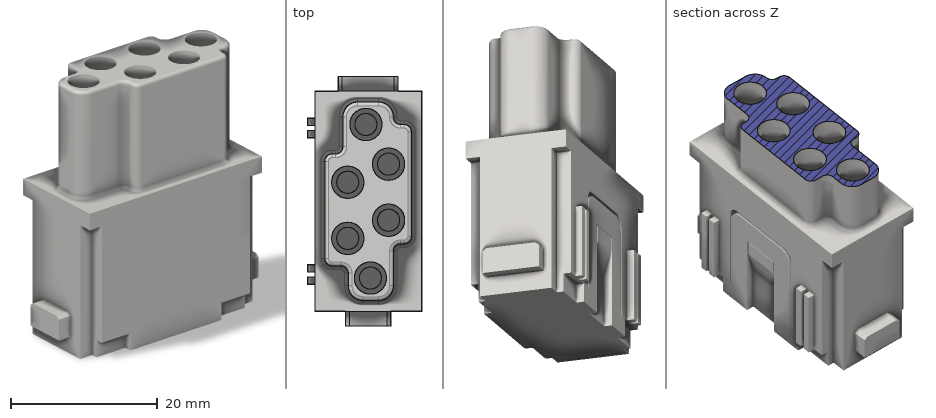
import cadquery as cq

TOTAL_HEIGHT = 38.6
BODY_WIDTH = 14.6
BODY_LENGTH = 30.0
BODY_HEIGHT = 22.55
BODY_LEFT = -BODY_WIDTH / 2
BODY_RIGHT = BODY_WIDTH / 2
TOWER_HEIGHT = TOTAL_HEIGHT - BODY_HEIGHT

TOWER_AXIS_X = -0.05

FLANGE_THICKNESS = 2.47
CORNER_NOTCH = 2.1
NOTCH_INNER_Y = BODY_LENGTH / 2 - CORNER_NOTCH
FLANGE_UNDERSIDE = BODY_HEIGHT - FLANGE_THICKNESS

FOOT_HEIGHT = 2.6
RECESS_DEPTH = 1.12
FOOT_RECESS_INNER_Y = 7.9

RIB_SIZE = 1.0
RIB_HEIGHT = 10.0
RIB_TOP = FOOT_HEIGHT + RIB_HEIGHT
RIB_CENTRES_Y = (9.15, 10.8)

TAB_REACH = 2.0
TAB_HEIGHT = 3.5
TAB_CHAMFER_WIDTH = 0.55
TAB_CHAMFER_HEIGHT = 0.4
FRONT_TAB_WIDTH = 6.2
REAR_TAB_WIDTH = 8.2

TONGUE_GAP_HALF_WIDTH = 6.45
TONGUE_GAP_TOP = 16.7
TONGUE_GAP_RADIUS = 1.6
TONGUE_RADIUS = 2.1
TONGUE_SIDE_GAP = 0.15
TONGUE_TOP_GAP = 0.45
CHANNEL_HALF_WIDTH = 2.85
CHANNEL_TOP = 12.65
CATCH_HALF_WIDTH = 2.6
CATCH_TOP = 12.6
CATCH_RAMP_TOP = 10.5
CATCH_RAMP_BOTTOM = 6.65

TOWER_END_Y = 13.5
TOWER_SIDE_X = 5.9
TOWER_NECK_X = 3.45
FRONT_LEFT_NECK_X = -2.7
REAR_LEFT_STEP_Y = 6.45
REAR_RIGHT_STEP_Y = 10.45
FRONT_RIGHT_STEP_Y = -5.8
FRONT_LEFT_STEP_Y = -8.8
END_CORNER_RADIUS = 2.0
STEP_CORNER_RADIUS = 1.0
TOWER_EDGE_RADIUS = 0.5
SELECTION_MARGIN = 0.05

BORE_DIAMETER = 4.4
BORE_DEPTH = TOWER_HEIGHT
CONTACT_DIAMETER = 3.0
CONTACT_DEPTH = 3.85
BORE_CENTRES = ((0.3, -10.45), (2.78, -2.6), (2.78, 5.05))


def block(x_range, y_range, z_range):
    """Axis-aligned box given by its limits."""
    (x0, x1), (y0, y1), (z0, z1) = x_range, y_range, z_range
    return cq.Workplane("XY").box(x1 - x0, y1 - y0, z1 - z0, centered=False).translate((x0, y0, z0))


def side_limits(side, inner, outer):
    """Limits from inner to outer, mirrored to the negative side when side is -1."""
    return tuple(sorted((side * inner, side * outer)))


def make_body():
    half_length = BODY_LENGTH / 2
    body = block((BODY_LEFT, BODY_RIGHT), (-half_length, half_length), (0, BODY_HEIGHT))
    for x_side in (-1, 1):
        half_width = BODY_WIDTH / 2
        notch_x = side_limits(x_side, half_width - CORNER_NOTCH, half_width)
        recess_x = side_limits(x_side, half_width - RECESS_DEPTH, half_width)
        for y_side in (-1, 1):
            notch_y = side_limits(y_side, NOTCH_INNER_Y, half_length)
            recess_y = side_limits(y_side, FOOT_RECESS_INNER_Y, NOTCH_INNER_Y)
            body = body.cut(block(notch_x, notch_y, (0, FLANGE_UNDERSIDE)))
            body = body.cut(block(recess_x, recess_y, (0, FOOT_HEIGHT)))
    return body


def add_ribs(body):
    for y_side in (-1, 1):
        for centre in RIB_CENTRES_Y:
            rib_y = side_limits(y_side, centre - RIB_SIZE / 2, centre + RIB_SIZE / 2)
            rib_x = (BODY_LEFT - RIB_SIZE, BODY_LEFT + RECESS_DEPTH)
            body = body.union(block(rib_x, rib_y, (FOOT_HEIGHT, RIB_TOP)))
    return body


def make_tab(width, y_start):
    """End tab with bevelled upper corners, reaching towards -Y from y_start."""
    half_width = width / 2
    top = FOOT_HEIGHT + TAB_HEIGHT
    shoulder = top - TAB_CHAMFER_HEIGHT
    outline = [
        (-half_width, FOOT_HEIGHT),
        (half_width, FOOT_HEIGHT),
        (half_width, shoulder),
        (half_width - TAB_CHAMFER_WIDTH, top),
        (-half_width + TAB_CHAMFER_WIDTH, top),
        (-half_width, shoulder),
    ]
    face = cq.Workplane("XZ", origin=(TOWER_AXIS_X, y_start, 0)).polyline(outline).close()
    return face.extrude(TAB_REACH)


def make_arch(half_width, top, radius):
    """Slab of the recess depth under the -X face, rounded at its two upper corners."""
    slab = block(
        (BODY_LEFT, BODY_LEFT + RECESS_DEPTH), (-half_width, half_width), (FOOT_HEIGHT, top)
    )
    return slab.edges("|X and >Z").fillet(radius)


def make_tongue_gap():
    outer = make_arch(TONGUE_GAP_HALF_WIDTH, TONGUE_GAP_TOP, TONGUE_GAP_RADIUS)
    inner = make_arch(
        TONGUE_GAP_HALF_WIDTH - TONGUE_SIDE_GAP, TONGUE_GAP_TOP - TONGUE_TOP_GAP, TONGUE_RADIUS
    )
    return outer.cut(inner)


def make_channel():
    return block(
        (BODY_LEFT, BODY_LEFT + RECESS_DEPTH),
        (-CHANNEL_HALF_WIDTH, CHANNEL_HALF_WIDTH),
        (0, CHANNEL_TOP),
    )


def make_catch():
    """Latch catch in the channel, flush with the -X face and ramped back below."""
    floor = BODY_LEFT + RECESS_DEPTH
    profile = [
        (floor, CATCH_RAMP_BOTTOM),
        (BODY_LEFT, CATCH_RAMP_TOP),
        (BODY_LEFT, CATCH_TOP),
        (floor, CATCH_TOP),
    ]
    return cq.Workplane("XZ").polyline(profile).close().extrude(CATCH_HALF_WIDTH, both=True)


def make_tower():
    """Tower with rounded upright corners and a rounded top edge."""
    corners = [
        (FRONT_LEFT_NECK_X, -TOWER_END_Y, END_CORNER_RADIUS),
        (TOWER_NECK_X, -TOWER_END_Y, END_CORNER_RADIUS),
        (TOWER_NECK_X, FRONT_RIGHT_STEP_Y, STEP_CORNER_RADIUS),
        (TOWER_SIDE_X, FRONT_RIGHT_STEP_Y, STEP_CORNER_RADIUS),
        (TOWER_SIDE_X, REAR_RIGHT_STEP_Y, STEP_CORNER_RADIUS),
        (TOWER_NECK_X, REAR_RIGHT_STEP_Y, STEP_CORNER_RADIUS),
        (TOWER_NECK_X, TOWER_END_Y, END_CORNER_RADIUS),
        (-TOWER_NECK_X, TOWER_END_Y, END_CORNER_RADIUS),
        (-TOWER_NECK_X, REAR_LEFT_STEP_Y, STEP_CORNER_RADIUS),
        (-TOWER_SIDE_X, REAR_LEFT_STEP_Y, STEP_CORNER_RADIUS),
        (-TOWER_SIDE_X, FRONT_LEFT_STEP_Y, STEP_CORNER_RADIUS),
        (FRONT_LEFT_NECK_X, FRONT_LEFT_STEP_Y, STEP_CORNER_RADIUS),
    ]
    outline = [(x, y) for x, y, _ in corners]
    base = cq.Workplane("XY", origin=(0, 0, BODY_HEIGHT))
    tower = base.polyline(outline).close().extrude(TOWER_HEIGHT)
    middle_height = BODY_HEIGHT + TOWER_HEIGHT / 2
    for x, y, radius in corners:
        tower = tower.edges(cq.selectors.NearestToPointSelector((x, y, middle_height))).fillet(radius)
    tower = tower.faces(">Z").edges().fillet(TOWER_EDGE_RADIUS)
    return tower.translate((TOWER_AXIS_X, 0, 0))


def add_tower(body):
    """Join the tower to the body and round the inside edge around its root."""
    joined = body.union(make_tower())
    reach_x = (TOWER_SIDE_X + BODY_WIDTH / 2) / 2
    reach_y = (TOWER_END_Y + BODY_LENGTH / 2) / 2
    root = cq.selectors.BoxSelector(
        (-reach_x, -reach_y, BODY_HEIGHT - SELECTION_MARGIN),
        (reach_x, reach_y, BODY_HEIGHT + SELECTION_MARGIN),
        boundingbox=True,
    )
    return joined.edges(root).fillet(TOWER_EDGE_RADIUS)


def cut_bores(part):
    places = [(turn * x, turn * y) for x, y in BORE_CENTRES for turn in (1, -1)]
    top = cq.Workplane("XY", origin=(TOWER_AXIS_X, 0, TOTAL_HEIGHT)).pushPoints(places)
    bores = top.circle(BORE_DIAMETER / 2).extrude(-BORE_DEPTH)
    contacts = top.circle(CONTACT_DIAMETER / 2).extrude(-(BORE_DEPTH + CONTACT_DEPTH))
    return part.cut(bores).cut(contacts)


part = add_tower(make_body())
part = add_ribs(part)
part = part.union(make_tab(FRONT_TAB_WIDTH, -BODY_LENGTH / 2))
part = part.union(make_tab(REAR_TAB_WIDTH, BODY_LENGTH / 2 + TAB_REACH))
part = part.cut(make_tongue_gap())
part = part.cut(make_channel())
part = part.union(make_catch())
result = cut_bores(part)